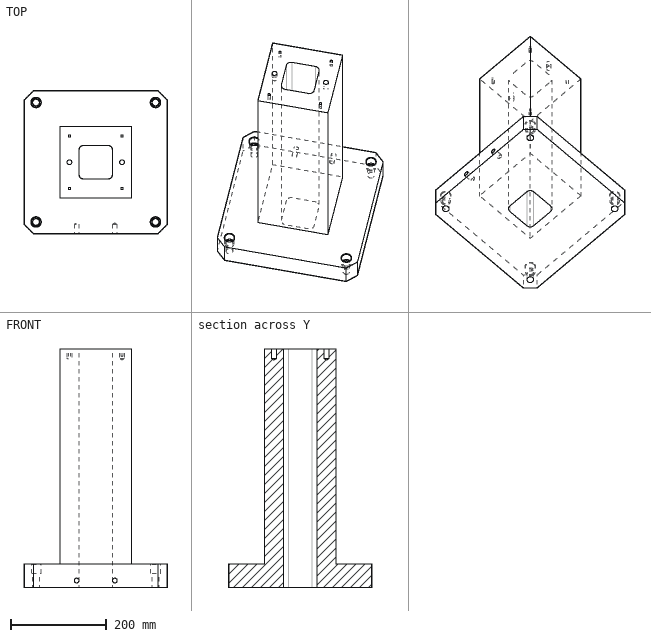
import cadquery as cq
import math

base_side = 300.0
base_height = 50.0
corner_chamfer = 20.0

total_height = 500.0
column_side = base_side / 2
bore_side = 70.0
bore_corner_radius = 10.0

mount_pitch = 250.0
mount_diameter = 14.0
counterbore_diameter = 20.0
counterbore_depth = 20.0
rim_chamfer = 1.0

top_pitch = 110.0
small_diameter = 5.0
small_depth = 15.0
large_diameter = 10.0
large_depth = 20.0

side_pitch = 80.0
side_hole_height = 15.0

drill_tip_angle = 118


def make_base():
    plate = cq.Workplane("XY").box(base_side, base_side, base_height, centered=(True, True, False))
    return plate.edges("|Z").chamfer(corner_chamfer)


def make_column():
    return cq.Workplane("XY").box(column_side, column_side, total_height, centered=(True, True, False))


def make_bore():
    bore = cq.Workplane("XY").rect(bore_side, bore_side).extrude(total_height)
    return bore.edges("|Z").fillet(bore_corner_radius)


def drill(start, direction, diameter, depth):
    """Blind hole with a conical bottom; depth is measured to the cone's base."""
    radius = diameter / 2
    tip = cq.Solid.makeCone(radius, 0, tip_length(radius), start + direction * depth, direction)
    return cq.Workplane(cq.Solid.makeCylinder(radius, depth, start, direction)).union(cq.Workplane(tip))


def tip_length(radius):
    return radius / math.tan(math.radians(drill_tip_angle / 2))


def make_mounting_hole():
    """Through hole with a counterbore whose rim is chamfered, centred on the Z axis."""
    counterbore_radius = counterbore_diameter / 2
    profile = (
        cq.Workplane("XZ")
        .lineTo(mount_diameter / 2, 0)
        .lineTo(mount_diameter / 2, base_height - counterbore_depth)
        .lineTo(counterbore_radius, base_height - counterbore_depth)
        .lineTo(counterbore_radius, base_height - rim_chamfer)
        .lineTo(counterbore_radius + rim_chamfer, base_height)
        .lineTo(0, base_height)
        .close()
    )
    return profile.revolve(360, (0, 0, 0), (0, 1, 0))


result = make_base().union(make_column()).cut(make_bore())

mounting_hole = make_mounting_hole()
down = cq.Vector(0, 0, -1)
inward = cq.Vector(0, 1, 0)
for side in (-1, 1):
    top_x = side * top_pitch / 2
    result = result.cut(drill(cq.Vector(top_x, 0, total_height), down, large_diameter, large_depth))
    for row in (-1, 1):
        mount_position = (side * mount_pitch / 2, row * mount_pitch / 2, 0)
        result = result.cut(mounting_hole.translate(mount_position))
        corner = cq.Vector(top_x, row * top_pitch / 2, total_height)
        result = result.cut(drill(corner, down, small_diameter, small_depth))
    side_start = cq.Vector(side * side_pitch / 2, -base_side / 2, side_hole_height)
    result = result.cut(drill(side_start, inward, large_diameter, large_depth))